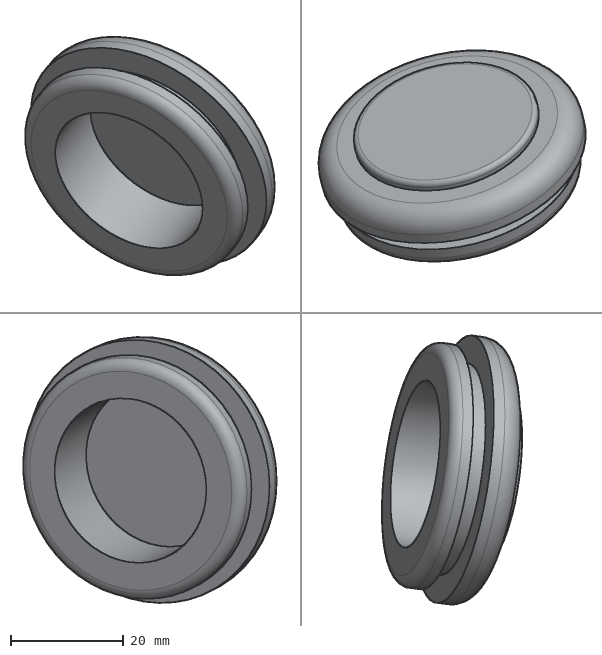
import cadquery as cq

front_flange_diameter = 44.0
front_flange_thickness = 4.0
front_flange_fillet = 2.0
groove_diameter = 38.0
groove_width = 3.2
main_flange_diameter = 48.0
main_flange_thickness = 6.0
main_flange_fillet = 4.0
rear_boss_diameter = 33.4
rear_boss_height = 1.8
rear_boss_fillet = 0.9

bore_diameter = 30.0
rear_wall_thickness = 2.2

total_depth = front_flange_thickness + groove_width + main_flange_thickness + rear_boss_height
bore_depth = total_depth - rear_wall_thickness


def disc(diameter, thickness, start_y):
    """Disc about the Y axis, extending toward +Y from start_y."""
    plane = cq.Plane(origin=(0, start_y, 0), xDir=(1, 0, 0), normal=(0, 1, 0))
    return cq.Workplane(plane).circle(diameter / 2).extrude(thickness)


groove_start = front_flange_thickness
main_flange_start = groove_start + groove_width
rear_boss_start = main_flange_start + main_flange_thickness

front_flange = disc(front_flange_diameter, front_flange_thickness, 0)
front_flange = front_flange.faces("<Y").edges().fillet(front_flange_fillet)

groove_core = disc(groove_diameter, groove_width, groove_start)

main_flange = disc(main_flange_diameter, main_flange_thickness, main_flange_start)
main_flange = main_flange.faces(">Y").edges().fillet(main_flange_fillet)

rear_boss = disc(rear_boss_diameter, rear_boss_height, rear_boss_start)
rear_boss = rear_boss.faces(">Y").edges().fillet(rear_boss_fillet)

bore = disc(bore_diameter, bore_depth, 0)

result = front_flange.union(groove_core).union(main_flange).union(rear_boss).cut(bore)